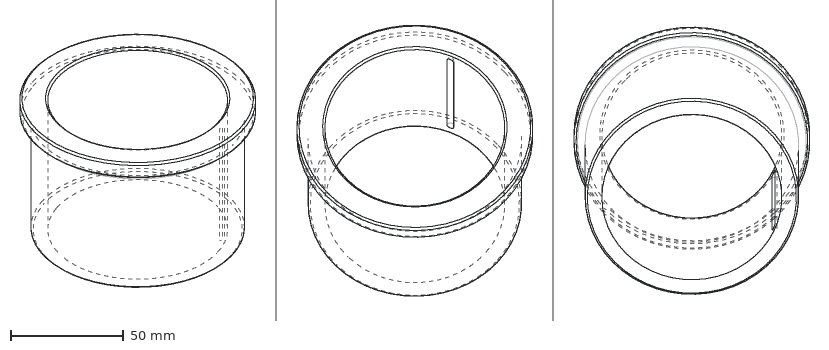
import cadquery as cq

height = 70.0
flange_diameter = 105.0
body_diameter = 95.0
bore_diameter = 80.0
flange_thickness = 8.1
edge_chamfer = 1.0
neck_radius = 3.4
groove_radius = 1.6
groove_end_gap = 4.2

flange_radius = flange_diameter / 2
body_radius = body_diameter / 2
bore_radius = bore_diameter / 2
flange_bottom = height - flange_thickness

profile = (
    cq.Workplane("XZ")
    .moveTo(bore_radius, 0)
    .lineTo(body_radius - edge_chamfer, 0)
    .lineTo(body_radius, edge_chamfer)
    .lineTo(body_radius, flange_bottom - neck_radius)
    .radiusArc((body_radius + neck_radius, flange_bottom), neck_radius)
    .lineTo(flange_radius - edge_chamfer, flange_bottom)
    .lineTo(flange_radius, flange_bottom + edge_chamfer)
    .lineTo(flange_radius, height - edge_chamfer)
    .lineTo(flange_radius - edge_chamfer, height)
    .lineTo(bore_radius + edge_chamfer, height)
    .lineTo(bore_radius, height - edge_chamfer)
    .close()
)
bush = profile.revolve(360, (0, 0, 0), (0, 1, 0))

groove_length = height - 2 * (groove_end_gap + groove_radius)
groove = (
    cq.Workplane("XY", origin=(bore_radius, 0, groove_end_gap + groove_radius))
    .circle(groove_radius)
    .extrude(groove_length)
)
for end_height in (0, groove_length):
    ball_end = cq.Workplane("XY").sphere(groove_radius)
    groove = groove.union(ball_end.translate((bore_radius, 0, groove_end_gap + groove_radius + end_height)))
result = bush.cut(groove)